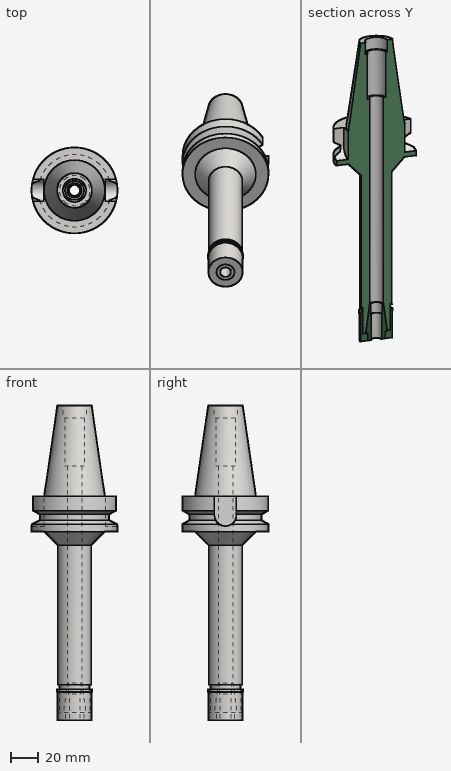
import cadquery as cq
import math


taper_length = 65.4
gauge_radius = 44.45 / 2
taper_ratio = 7 / 24
taper_end_radius = gauge_radius - taper_length * taper_ratio / 2

flange_radius = 63 / 2
flange_top = -1.0
flange_bottom = -27.0
groove_centre = -16.5
groove_floor_radius = 53 / 2
groove_floor_width = 4.2
groove_flank_angle = 30
groove_flank_height = (flange_radius - groove_floor_radius) * math.tan(math.radians(groove_flank_angle))
groove_floor_top = groove_centre + groove_floor_width / 2
groove_floor_bottom = groove_centre - groove_floor_width / 2

slot_width = 16.1
slot_floor_distance = 22.6
slot_bottom = -22.9

shaft_radius = 12.4
neck_cone_top_radius = 22.2
neck_cone_bottom = flange_bottom - (neck_cone_top_radius - shaft_radius)
shaft_bottom = -139.0
nose_radius = 11.1

nut_bottom = -165.0
nut_top = -142.4
nut_radius = 12.55
nut_collar_radius = 12.9
nut_collar_height = 1.6
nut_collar_chamfer = 0.3
nut_wall = 6.0
nose_bottom = nut_bottom + nut_wall

collet_length = 27.5
collet_bore_radius = 4.0
collet_relief_radius = 4.4
collet_relief_depth = 8.0
collet_tip_radius = 5.3
collet_half_angle = 8
collet_front_radius = 6.6
collet_top = nut_bottom + collet_length
collet_seat_radius = collet_tip_radius + (collet_top - nose_bottom) * math.tan(math.radians(collet_half_angle))

pilot_radius = 17 / 2
pilot_depth = 9.0
thread_radius = 14.0 / 2
thread_depth = 35.0
through_radius = collet_tip_radius


def revolve_about_z(profile):
    """Turn a closed list of (radius, z) points into a solid around the Z axis."""
    return cq.Workplane("YZ").polyline(profile).close().revolve(360, (0, 0, 0), (0, 1, 0))


def drive_slot(side):
    """Cutter for one key slot with a half-round lower end; side is +1 or -1 along X."""
    end_radius = slot_width / 2
    end_centre = slot_bottom + end_radius
    outline = (
        cq.Workplane("YZ", origin=(side * slot_floor_distance, 0, 0))
        .moveTo(-end_radius, 0)
        .lineTo(-end_radius, end_centre)
        .threePointArc((0, slot_bottom), (end_radius, end_centre))
        .lineTo(end_radius, 0)
        .close()
    )
    return outline.extrude(side * flange_radius)


def make_holder():
    thread_top = taper_length - pilot_depth
    thread_bottom = thread_top - thread_depth
    body = revolve_about_z([
        (pilot_radius, taper_length),
        (taper_end_radius, taper_length),
        (gauge_radius, 0),
        (gauge_radius, flange_top),
        (flange_radius, flange_top),
        (flange_radius, groove_floor_top + groove_flank_height),
        (groove_floor_radius, groove_floor_top),
        (groove_floor_radius, groove_floor_bottom),
        (flange_radius, groove_floor_bottom - groove_flank_height),
        (flange_radius, flange_bottom),
        (neck_cone_top_radius, flange_bottom),
        (shaft_radius, neck_cone_bottom),
        (shaft_radius, shaft_bottom),
        (nose_radius, shaft_bottom),
        (nose_radius, nose_bottom),
        (collet_seat_radius, nose_bottom),
        (collet_tip_radius, collet_top),
        (through_radius, thread_bottom),
        (thread_radius, thread_bottom),
        (thread_radius, thread_top),
        (pilot_radius, thread_top),
    ])
    for side in (-1, 1):
        body = body.cut(drive_slot(side))
    return body


def make_nut():
    collar_bottom = nut_top - nut_collar_height
    return revolve_about_z([
        (nose_radius, nut_top),
        (nut_collar_radius, nut_top),
        (nut_collar_radius, collar_bottom),
        (nut_radius, collar_bottom - nut_collar_chamfer),
        (nut_radius, nut_bottom),
        (collet_front_radius, nut_bottom),
        (collet_front_radius, nose_bottom),
        (nose_radius, nose_bottom),
    ])


def make_collet():
    relief_bottom = collet_top - collet_relief_depth
    return revolve_about_z([
        (collet_relief_radius, collet_top),
        (collet_tip_radius, collet_top),
        (collet_seat_radius, nose_bottom),
        (collet_front_radius, nose_bottom),
        (collet_front_radius, nut_bottom),
        (collet_bore_radius, nut_bottom),
        (collet_bore_radius, relief_bottom),
        (collet_relief_radius, relief_bottom),
    ])


holder = make_holder()
nut = make_nut()
collet = make_collet()

result = cq.Compound.makeCompound([holder.val(), nut.val(), collet.val()])